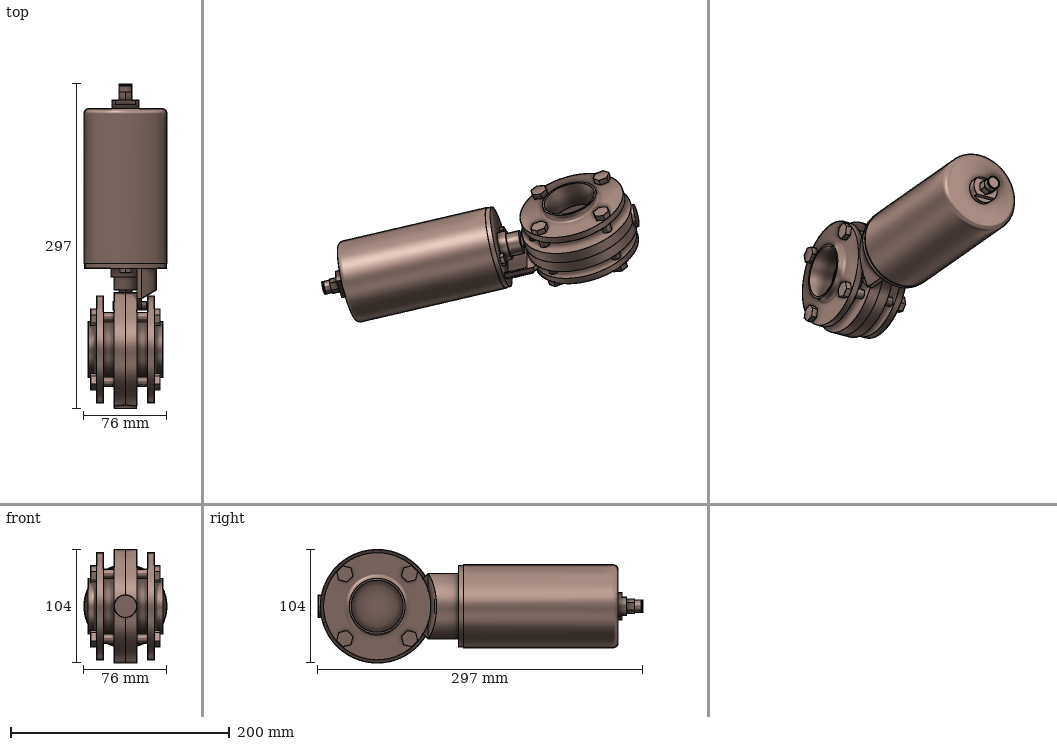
import cadquery as cq
import math


pipe_outer_radius = 25.5
bore_radius = 23.8
pipe_end = 34.2
centre_flange_radius = 52.0
centre_flange_half = 10.5
neck_radius = 34.0
side_flange_radius = 49.0
side_flange_inner = 20.2
side_flange_outer = 26.5
hub_fillet = 4.0

bolt_count = 4
bolt_circle_radius = 42.0
bolt_diameter = 8.5
bolt_head_radius = 7.7
bolt_head_height = 5.3

disc_thickness = 20.0
stem_diameter = 12.0
stem_cap_diameter = 20.5
stem_cap_end = -54.0
socket_depth = 12.0

plate_thickness = 4.5
plate_half_width = 30.0
plate_bottom = 36.0
plate_corner_chamfer = 10.7
plate_back = centre_flange_half + plate_thickness
bulge_apex = 28.2
bulge_start = plate_bottom + plate_corner_chamfer
bulge_slope = 30.0
pocket_end = 52.5
pin_diameter = 8.0
pin_height = 40.0
pin_offset = 14.8
pin_left = -11.5
pin_right = 19.3

actuator_radius = 38.0
actuator_front = 74.2
actuator_back = 220.5
front_rim_length = 4.5
front_rim_radius = 37.5
back_fillet = 4.8
collar_radius = 13.5
collar_front = 66.5
coupling_radius = 10.7
coupling_front = 54.5
face_bolt_radius = 5.5
face_bolt_height = 4.0
face_bolt_offset = 22.0
boss_radius = 12.5
boss_end = 228.0
boss_flat_start = 224.0
boss_flat_half = 8.3
nipple_hex_radius = 6.8
nipple_hex_end = 235.5
nipple_radius = 6.0
nipple_groove_start = 241.2
nipple_groove_end = 242.0
nipple_groove_radius = 5.3
nipple_end = stem_cap_end + 297


def rod_x(radius, start, end, y=0.0, z=0.0):
    """Cylinder along X."""
    return cq.Workplane("YZ", origin=(start, y, z)).circle(radius).extrude(end - start)


def rod_y(radius, start, end):
    """Cylinder along Y on the stem axis."""
    return cq.Workplane("XZ", origin=(0, start, 0)).circle(radius).extrude(start - end)


def polygon_y(sides, corner_radius, start, end, z=0.0):
    """Regular prism along Y with one corner pointing to +Z."""
    corners = []
    for index in range(sides):
        angle = 2 * math.pi * index / sides
        corners.append((corner_radius * math.sin(angle), corner_radius * math.cos(angle)))
    return cq.Workplane("XZ", origin=(0, start, z)).polyline(corners).close().extrude(start - end)


def bracket_pins():
    """The two pins that hold the bracket on the centre flange."""
    upper = rod_x(pin_diameter / 2, pin_left, pin_right, pin_height, pin_offset)
    return upper.union(upper.mirror("XY"))


def flange_bolt():
    """Bolt at the +Y side of the bolt circle, with one flat of its head facing outwards."""
    shank = rod_x(bolt_diameter / 2, centre_flange_half, side_flange_outer, bolt_circle_radius)
    head = (
        cq.Workplane("YZ", origin=(side_flange_outer, bolt_circle_radius, 0))
        .transformed(rotate=(0, 0, 30))
        .polygon(6, 2 * bolt_head_radius)
        .extrude(bolt_head_height)
    )
    return shank.union(head)


def body_half(side):
    """Half of the valve body on the +X (side = 1) or -X (side = -1) side, with its bolts."""
    fillet_end = side_flange_outer + hub_fillet
    fillet_middle = hub_fillet * (1 - math.sqrt(0.5))
    half = (
        cq.Workplane("XY")
        .moveTo(0, bore_radius)
        .lineTo(0, centre_flange_radius)
        .lineTo(centre_flange_half, centre_flange_radius)
        .lineTo(centre_flange_half, neck_radius)
        .lineTo(side_flange_inner, neck_radius)
        .lineTo(side_flange_inner, side_flange_radius)
        .lineTo(side_flange_outer, side_flange_radius)
        .lineTo(side_flange_outer, pipe_outer_radius + hub_fillet)
        .threePointArc(
            (side_flange_outer + fillet_middle, pipe_outer_radius + fillet_middle),
            (fillet_end, pipe_outer_radius),
        )
        .lineTo(pipe_end, pipe_outer_radius)
        .lineTo(pipe_end, bore_radius)
        .close()
        .revolve(360, (0, 0, 0), (1, 0, 0))
    )
    bolt = flange_bolt()
    for index in range(bolt_count):
        angle = (index + 0.5) * 360 / bolt_count
        half = half.union(bolt.rotate((0, 0, 0), (1, 0, 0), angle))
    if side < 0:
        half = half.mirror("YZ")
    stem_hole = rod_y(stem_diameter / 2, -centre_flange_radius, centre_flange_radius)
    return half.cut(stem_hole).cut(bracket_pins())


def disc_with_stem():
    """Closing disc, its round stem, the cap at the -Y end and the square +Y end."""
    flange_envelope = rod_x(centre_flange_radius, -centre_flange_half, centre_flange_half)
    disc = rod_x(bore_radius, -disc_thickness / 2, disc_thickness / 2)
    stem = rod_y(stem_diameter / 2, -centre_flange_radius, centre_flange_radius)
    cap = rod_y(stem_cap_diameter / 2, stem_cap_end, -bore_radius).cut(flange_envelope)
    square = polygon_y(4, stem_diameter / 2, bore_radius, coupling_front + socket_depth)
    return disc.union(stem).union(cap).union(square)


def bulge_segment(flat_x, radius, centre_x, start, end):
    """Cylinder along Y about (centre_x, 0), kept only beyond the plane X = flat_x."""
    cylinder = rod_y(radius, start, end).translate((centre_x, 0, 0))
    beyond = cq.Workplane("XY").box(
        2 * radius, 2 * (end - start), 4 * radius, centered=(False, True, True)
    )
    return cylinder.intersect(beyond.translate((flat_x, (start + end) / 2, 0)))


def bracket():
    """Plate with a hollow bulge towards +X and two pins."""
    plate = (
        cq.Workplane("YZ", origin=(centre_flange_half, 0, 0))
        .moveTo((plate_bottom + actuator_front) / 2, 0)
        .rect(actuator_front - plate_bottom, 2 * plate_half_width)
        .extrude(plate_thickness)
        .edges("|X and <Y")
        .chamfer(plate_corner_chamfer)
    )
    bulge_depth = bulge_apex - plate_back
    outer_radius = (plate_half_width**2 + bulge_depth**2) / (2 * bulge_depth)
    centre_x = bulge_apex - outer_radius
    bulge = bulge_segment(plate_back, outer_radius, centre_x, bulge_start, actuator_front)
    slope_rise = bulge_depth * math.tan(math.radians(bulge_slope))
    slanted_end = (
        cq.Workplane("XY")
        .polyline([
            (plate_back, bulge_start),
            (bulge_apex, bulge_start),
            (bulge_apex, bulge_start + slope_rise),
        ])
        .close()
        .extrude(plate_half_width, both=True)
    )
    inner_radius = outer_radius - plate_thickness
    pocket = bulge_segment(centre_flange_half, inner_radius, centre_x, pocket_end, actuator_front)
    return plate.union(bulge.cut(slanted_end)).cut(pocket).union(bracket_pins())


def actuator():
    """Cylinder with the coupling at its -Y end and the air nipple at its +Y end."""
    rim_end = actuator_front + front_rim_length
    shell = rod_y(actuator_radius, rim_end, actuator_back).edges(">Y").fillet(back_fillet)
    shell = shell.union(rod_y(front_rim_radius, actuator_front, rim_end))

    collar = rod_y(collar_radius, collar_front, actuator_front)
    coupling = rod_y(coupling_radius, coupling_front, collar_front)
    socket = polygon_y(4, stem_diameter / 2, coupling_front, coupling_front + socket_depth)
    body = shell.union(collar).union(coupling).cut(socket)

    for z in (-face_bolt_offset, face_bolt_offset):
        body = body.union(
            polygon_y(6, face_bolt_radius, actuator_front - face_bolt_height, actuator_front, z)
        )

    flats = cq.Workplane("XY").box(
        2 * boss_radius, boss_end - boss_flat_start, 2 * boss_flat_half
    ).translate((0, (boss_flat_start + boss_end) / 2, 0))
    boss_tip = rod_y(boss_radius, boss_flat_start, boss_end).intersect(flats)
    body = body.union(rod_y(boss_radius, actuator_back, boss_flat_start)).union(boss_tip)

    body = body.union(polygon_y(6, nipple_hex_radius, boss_end, nipple_hex_end))
    body = body.union(rod_y(nipple_radius, nipple_hex_end, nipple_groove_start))
    body = body.union(rod_y(nipple_groove_radius, nipple_groove_start, nipple_groove_end))
    return body.union(rod_y(nipple_radius, nipple_groove_end, nipple_end))


body_halves = [body_half(side).val() for side in (-1, 1)]

result = cq.Compound.makeCompound([
    *body_halves,
    disc_with_stem().val(),
    bracket().val(),
    actuator().val(),
])